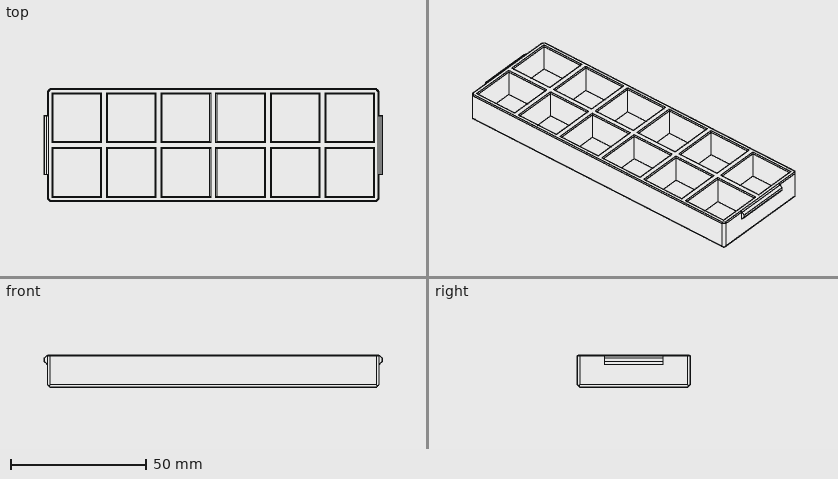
import cadquery as cq

columns = 6
rows = 2
overall_length = 125.0
tray_width = 41.8
tray_height = 12.0
outer_wall = 2.0
divider = 2.6
floor_thickness = 1.2
pocket_size = (tray_width - 2 * outer_wall - (rows - 1) * divider) / rows
pitch = pocket_size + divider
tray_length = columns * pitch - divider + 2 * outer_wall

outer_chamfer = 1.0
rim_chamfer = 0.4
pocket_chamfer = 0.4

ridge_length = 21.8
ridge_reach = (overall_length - tray_length) / 2
ridge_tip_height = 1.2
ridge_shoulder = 0.3


def make_block():
    """Plain block of the tray's length, width and height, standing on Z = 0."""
    return cq.Workplane("XY").box(tray_length, tray_width, tray_height, centered=(True, True, False))


def make_body():
    """Solid body whose bottom bevels run out through the flat upright corner bevels."""
    beveled_bottom = make_block().faces("<Z").edges().chamfer(outer_chamfer)
    beveled_corners = make_block().edges("|Z").chamfer(outer_chamfer)
    body = beveled_bottom.intersect(beveled_corners)
    return body.faces(">Z").edges().chamfer(rim_chamfer)


def make_pocket_cutters():
    """Grid of square cutters, each flaring at 45 degrees to its mouth."""
    mouth_size = pocket_size + 2 * pocket_chamfer
    shafts = (
        cq.Workplane("XY", origin=(0, 0, floor_thickness))
        .rarray(pitch, pitch, columns, rows)
        .rect(pocket_size, pocket_size)
        .extrude(tray_height - floor_thickness)
    )
    mouths = (
        cq.Workplane("XY", origin=(0, 0, tray_height))
        .rarray(pitch, pitch, columns, rows)
        .rect(mouth_size, mouth_size)
        .extrude(-pocket_chamfer, taper=45)
    )
    return shafts.union(mouths)


def make_ridge():
    """Snap ridge along the +X end wall.

    A flat tip lies between 45 degree flanks. Above the shoulder, a gentle ramp
    rises over the rim bevel to meet the top face of the wall.
    """
    wall_x = tray_length / 2
    ramp_top_x = wall_x - rim_chamfer
    shoulder_x = wall_x + ridge_shoulder
    tip_x = wall_x + ridge_reach
    shoulder_z = tray_height - ridge_shoulder
    tip_top_z = tray_height - ridge_reach
    tip_bottom_z = tip_top_z - ridge_tip_height
    foot_z = tip_bottom_z - ridge_reach
    return (
        cq.Workplane("XZ")
        .moveTo(ramp_top_x, foot_z)
        .lineTo(wall_x, foot_z)
        .lineTo(tip_x, tip_bottom_z)
        .lineTo(tip_x, tip_top_z)
        .lineTo(shoulder_x, shoulder_z)
        .lineTo(ramp_top_x, tray_height)
        .close()
        .extrude(ridge_length / 2, both=True)
    )


ridge = make_ridge()
result = make_body().union(ridge).union(ridge.mirror("YZ")).cut(make_pocket_cutters())